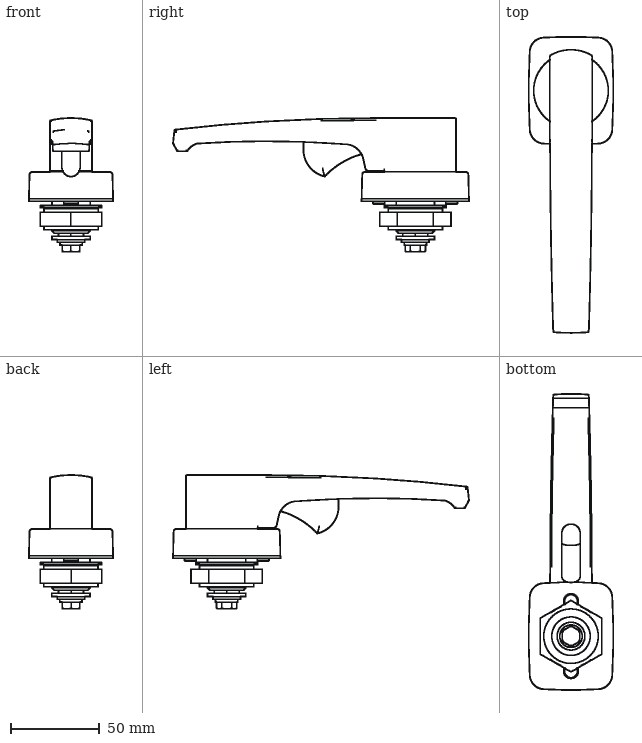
import cadquery as cq
import math


PLATE_LENGTH = 60.9
PLATE_WIDTH = 47.9
PLATE_BOW = 1.0
PLATE_CORNER_RADIUS = 8.4
PLATE_DRAFT = 1.4
PLATE_TOP_FILLET = 1.7
GASKET_THICKNESS = 1.5
PLATE_TOP = 16.7

SLEEVE_RADIUS = 10.9
SLEEVE_BOTTOM = -18.0
SLEEVE_CHAMFER = 1.5

BOSS_RADIUS = 4.2
BOSS_OFFSET = 19.7
BOSS_BOTTOM = -1.5
BOSS_CHAMFER = 0.5

LOCK_WASHER_RADIUS = 17.4
LOCK_WASHER_TOP = -2.0
LOCK_WASHER_RIM = 1.5
LOCK_WASHER_CHAMFER = 0.5
NUT_TOP = -4.0
NUT_COLLAR_RADIUS = 15.4
NUT_COLLAR_HEIGHT = 2.0
NUT_HEX_HEIGHT = 8.0
NUT_ACROSS_FLATS = 35.0

SPINDLE_SIDE = 10.0
SPINDLE_SOCKET_DEPTH = 10.0
SPINDLE_BOTTOM = -19.5
END_WASHER_RADIUS = 10.9
END_WASHER_THICKNESS = 2.0
PLAIN_WASHER_RADIUS = 7.9
SPRING_WASHER_RADIUS = 6.4
SMALL_WASHER_THICKNESS = 1.5
BOLT_ACROSS_FLATS = 10.0
BOLT_HEAD_HEIGHT = 3.8
BOLT_HEAD_CHAMFER = 0.5
BOLT_SHANK_RADIUS = 3.0
BOLT_THREAD_DEPTH = 10.0

DISC_RADIUS = 21.0
DISC_THICKNESS = 2.5
HANDLE_RELIEF = 0.5
HANDLE_TOP = 47.2
HANDLE_HALF_WIDTH = 11.9
HANDLE_BACK_RADIUS = 23.1
HANDLE_TIP_HALF_WIDTH = 10.0
HANDLE_TIP_RADIUS = 100.4
HANDLE_TIP_LEAN = 6.0
HANDLE_TIP_WIDEST_Z = 32.8
TIP_TRIM = 1.7
HANDLE_TIP_Y = PLATE_LENGTH / 2 - 167.3
ARM_START_Y = -22.3
ARM_TOP_RADIUS = 987.1
CROWN_RADIUS = 50.2
HANDLE_EDGE_FILLET = 0.8

GUARD_WIDTH = 10.4
GUARD_ROUNDING = 5.0
GUARD_ROOT_Y = -23.5
GUARD_ROOT_Z = 36.8


def cylinder(radius, top, bottom):
    return cq.Workplane("XY").workplane(offset=bottom).circle(radius).extrude(top - bottom)


def hexagon(across_flats, top, bottom):
    """Hexagonal prism with flats facing +X and -X."""
    corner_radius = across_flats / 2 / math.cos(math.pi / 6)
    corners = [
        (corner_radius * math.sin(k * math.pi / 3), corner_radius * math.cos(k * math.pi / 3))
        for k in range(6)
    ]
    return cq.Workplane("XY").workplane(offset=bottom).polyline(corners).close().extrude(top - bottom)


def square_bar(top, bottom):
    """Square bar on the Z axis with its corners on the X and Y axes."""
    return (
        cq.Workplane("XY").workplane(offset=bottom)
        .transformed(rotate=(0, 0, 45)).rect(SPINDLE_SIDE, SPINDLE_SIDE).extrude(top - bottom)
    )


def drafted_block():
    """Plate and gasket in one: bowed sides, rounded corners, narrowing toward the top."""
    half_x = PLATE_WIDTH / 2
    half_y = PLATE_LENGTH / 2
    corner_x = half_x - PLATE_BOW
    corner_y = half_y - PLATE_BOW
    block = (
        cq.Workplane("XY")
        .moveTo(corner_x, -corner_y)
        .threePointArc((half_x, 0), (corner_x, corner_y))
        .threePointArc((0, half_y), (-corner_x, corner_y))
        .threePointArc((-half_x, 0), (-corner_x, -corner_y))
        .threePointArc((0, -half_y), (corner_x, -corner_y))
        .close()
        .extrude(PLATE_TOP, taper=PLATE_DRAFT)
    )
    corners = block.edges().filter(lambda edge: 0.2 < edge.Center().z < PLATE_TOP - 0.2)
    return corners.fillet(PLATE_CORNER_RADIUS)


def gasket_slab():
    """Layer that the gasket takes up at the foot of the drafted block."""
    return cq.Workplane("XY").box(
        PLATE_WIDTH + 1.7, PLATE_LENGTH + 1.7, GASKET_THICKNESS, centered=(True, True, False)
    )


def make_sleeve():
    sleeve = cylinder(SLEEVE_RADIUS, GASKET_THICKNESS, SLEEVE_BOTTOM)
    return sleeve.faces("<Z").chamfer(SLEEVE_CHAMFER)


def make_bosses():
    """Two round bosses, cut back to clear the lock washer."""
    bosses = cylinder(BOSS_RADIUS, GASKET_THICKNESS, BOSS_BOTTOM).faces("<Z").chamfer(BOSS_CHAMFER)
    front = bosses.translate((0, -BOSS_OFFSET, 0))
    rear = bosses.translate((0, BOSS_OFFSET, 0))
    return front.add(rear).combine().cut(cylinder(LOCK_WASHER_RADIUS, GASKET_THICKNESS, BOSS_BOTTOM))


def make_housing():
    plate = drafted_block().faces(">Z").edges().fillet(PLATE_TOP_FILLET)
    plate = plate.cut(gasket_slab())
    housing = plate.union(make_sleeve()).union(make_bosses())
    disc_recess = cylinder(DISC_RADIUS, PLATE_TOP, PLATE_TOP - DISC_THICKNESS)
    spindle_bore = cylinder(SPINDLE_SIDE * math.sqrt(0.5), PLATE_TOP, SLEEVE_BOTTOM)
    return housing.cut(disc_recess).cut(spindle_bore)


def make_gasket():
    gasket = drafted_block().intersect(gasket_slab())
    return gasket.cut(cylinder(SLEEVE_RADIUS, GASKET_THICKNESS, 0)).cut(make_bosses())


def make_lock_washer():
    rim_bottom = LOCK_WASHER_TOP - LOCK_WASHER_RIM
    rim = cylinder(LOCK_WASHER_RADIUS, LOCK_WASHER_TOP, rim_bottom)
    rim = rim.faces(">Z").chamfer(LOCK_WASHER_CHAMFER)
    seat = cylinder(NUT_COLLAR_RADIUS, rim_bottom, NUT_TOP)
    return rim.union(seat).cut(cylinder(SLEEVE_RADIUS, LOCK_WASHER_TOP, NUT_TOP))


def make_nut():
    hex_top = NUT_TOP - NUT_COLLAR_HEIGHT
    hex_bottom = hex_top - NUT_HEX_HEIGHT
    nut_bottom = hex_bottom - NUT_COLLAR_HEIGHT
    nut = hexagon(NUT_ACROSS_FLATS, hex_top, hex_bottom)
    nut = nut.union(cylinder(NUT_COLLAR_RADIUS, NUT_TOP, nut_bottom))
    return nut.cut(cylinder(SLEEVE_RADIUS, NUT_TOP, nut_bottom))


def make_spindle():
    spindle = square_bar(PLATE_TOP + SPINDLE_SOCKET_DEPTH, SPINDLE_BOTTOM)
    return spindle.cut(cylinder(BOLT_SHANK_RADIUS, SPINDLE_BOTTOM + BOLT_THREAD_DEPTH, SPINDLE_BOTTOM))


def make_washer(radius, top, thickness):
    """Flat ring around the bolt shank."""
    return cylinder(radius, top, top - thickness).cut(
        cylinder(BOLT_SHANK_RADIUS, top, top - thickness)
    )


def make_bolt(head_top):
    head_bottom = head_top - BOLT_HEAD_HEIGHT
    head = hexagon(BOLT_ACROSS_FLATS, head_top, head_bottom)
    corner_radius = BOLT_ACROSS_FLATS / 2 / math.cos(math.pi / 6)
    bevel = cylinder(corner_radius, head_top, head_bottom).faces("<Z").chamfer(BOLT_HEAD_CHAMFER)
    shank = cylinder(BOLT_SHANK_RADIUS, SPINDLE_BOTTOM + BOLT_THREAD_DEPTH, head_top)
    return head.intersect(bevel).union(shank)


def handle_plan():
    """Handle seen from above: round back, parallel sides, then an arm that narrows to the tip."""
    back_y = math.sqrt(HANDLE_BACK_RADIUS**2 - HANDLE_HALF_WIDTH**2)
    end_y = HANDLE_TIP_Y - TIP_TRIM
    middle_y = (ARM_START_Y + end_y) / 2
    middle_x = HANDLE_HALF_WIDTH - (HANDLE_HALF_WIDTH - HANDLE_TIP_HALF_WIDTH) / 4
    return (
        cq.Workplane("XY")
        .moveTo(HANDLE_HALF_WIDTH, ARM_START_Y)
        .lineTo(HANDLE_HALF_WIDTH, back_y)
        .threePointArc((0, HANDLE_BACK_RADIUS), (-HANDLE_HALF_WIDTH, back_y))
        .lineTo(-HANDLE_HALF_WIDTH, ARM_START_Y)
        .threePointArc((-middle_x, middle_y), (-HANDLE_TIP_HALF_WIDTH, end_y))
        .lineTo(HANDLE_TIP_HALF_WIDTH, end_y)
        .threePointArc((middle_x, middle_y), (HANDLE_HALF_WIDTH, ARM_START_Y))
        .close()
        .extrude(HANDLE_TOP)
    )


def handle_side():
    """Handle seen from the side, open at the top where the crown closes it."""
    width = 2 * HANDLE_HALF_WIDTH
    heel_z = PLATE_TOP + HANDLE_RELIEF
    return (
        cq.Workplane("YZ").workplane(offset=-HANDLE_HALF_WIDTH)
        .moveTo(HANDLE_BACK_RADIUS, HANDLE_TOP)
        .lineTo(HANDLE_BACK_RADIUS, PLATE_TOP)
        .lineTo(-DISC_RADIUS + 3.7, PLATE_TOP)
        .lineTo(-DISC_RADIUS + 3.7, heel_z)
        .lineTo(-26.5, heel_z)
        .tangentArcPoint((-28.3, 18.7), relative=False)
        .lineTo(-29.5, 24.1)
        .tangentArcPoint((-39.2, 32.3), relative=False)
        .threePointArc((-85.3, 34.0), (-123.1, 32.6))
        .threePointArc((-126.7, 30.8), (-128.8, 28.3))
        .lineTo(-134.3, 28.3)
        .lineTo(HANDLE_TIP_Y, HANDLE_TIP_WIDEST_Z)
        .lineTo(HANDLE_TIP_Y - TIP_TRIM, HANDLE_TOP)
        .close()
        .extrude(width)
    )


def tip_rounding():
    """Large leaning cylinder whose front side forms the bowed end face."""
    axis_y = HANDLE_TIP_Y + HANDLE_TIP_RADIUS / math.cos(math.radians(HANDLE_TIP_LEAN))
    return (
        cq.Workplane("XY", origin=(0, axis_y, HANDLE_TIP_WIDEST_Z))
        .transformed(rotate=(-HANDLE_TIP_LEAN, 0, 0))
        .circle(HANDLE_TIP_RADIUS)
        .extrude(HANDLE_TOP, both=True)
    )


def crowned_blank():
    """Bar with a crowned top, straight over the plate and bending down along the arm."""
    half = HANDLE_HALF_WIDTH + 1.7
    edge_z = HANDLE_TOP - (CROWN_RADIUS - math.sqrt(CROWN_RADIUS**2 - half**2))

    def section():
        return (
            cq.Workplane("XZ", origin=(0, ARM_START_Y, 0))
            .moveTo(-half, 0)
            .lineTo(-half, edge_z)
            .threePointArc((0, HANDLE_TOP), (half, edge_z))
            .lineTo(half, 0)
            .close()
        )

    straight = section().extrude(-(HANDLE_BACK_RADIUS - ARM_START_Y + 1.7))
    pivot_z = HANDLE_TOP - ARM_TOP_RADIUS
    arm = section().revolve(8, (-1.7, pivot_z), (1.7, pivot_z))
    return straight.union(arm)


def is_guard_rim(edge):
    """True for the guard edges that stand out of the handle."""
    centre = edge.Center()
    return centre.z < GUARD_ROOT_Z - 0.2 and centre.y < GUARD_ROOT_Y - 0.2


def make_guard():
    """Rounded fin that keeps the fingers off the plate."""
    fin = (
        cq.Workplane("YZ").workplane(offset=-GUARD_WIDTH / 2)
        .moveTo(GUARD_ROOT_Y, GUARD_ROOT_Z)
        .lineTo(GUARD_ROOT_Y, 28.1)
        .lineTo(-30.1, 26.8)
        .threePointArc((-41.2, 22.1), (-51.2, 14.0))
        .threePointArc((-60.2, 20.0), (-63.2, 28.8))
        .lineTo(-63.2, GUARD_ROOT_Z)
        .close()
        .extrude(GUARD_WIDTH)
    )
    rim = fin.faces("<X or >X").edges().filter(is_guard_rim)
    return rim.fillet(GUARD_ROUNDING)


def is_outline_edge(edge):
    """True for the side outlines, the back corners and the ends of the crowned top."""
    centre = edge.Center()
    on_heel = centre.z < PLATE_TOP + HANDLE_RELIEF + 0.2
    on_joint = abs(centre.y - ARM_START_Y) < 0.2
    on_side = abs(centre.x) > HANDLE_HALF_WIDTH / 2
    on_top = centre.z > HANDLE_TIP_WIDEST_Z + 5
    return (on_side or on_top) and not on_heel and not on_joint


def make_handle():
    grip = handle_plan().intersect(handle_side()).intersect(crowned_blank()).intersect(tip_rounding())
    grip = grip.edges().filter(is_outline_edge).fillet(HANDLE_EDGE_FILLET)
    disc = cylinder(DISC_RADIUS, PLATE_TOP, PLATE_TOP - DISC_THICKNESS)
    socket = square_bar(PLATE_TOP + SPINDLE_SOCKET_DEPTH, PLATE_TOP - DISC_THICKNESS)
    return grip.union(make_guard()).union(disc).cut(socket)


end_washer_bottom = SPINDLE_BOTTOM - END_WASHER_THICKNESS
plain_washer_bottom = end_washer_bottom - SMALL_WASHER_THICKNESS
spring_washer_bottom = plain_washer_bottom - SMALL_WASHER_THICKNESS

housing = make_housing()
gasket = make_gasket()
handle = make_handle()
spindle = make_spindle()
lock_washer = make_lock_washer()
nut = make_nut()
end_washer = make_washer(END_WASHER_RADIUS, SPINDLE_BOTTOM, END_WASHER_THICKNESS)
plain_washer = make_washer(PLAIN_WASHER_RADIUS, end_washer_bottom, SMALL_WASHER_THICKNESS)
spring_washer = make_washer(SPRING_WASHER_RADIUS, plain_washer_bottom, SMALL_WASHER_THICKNESS)
bolt = make_bolt(spring_washer_bottom)

result = cq.Compound.makeCompound([
    housing.val(),
    gasket.val(),
    handle.val(),
    spindle.val(),
    lock_washer.val(),
    nut.val(),
    end_washer.val(),
    plain_washer.val(),
    spring_washer.val(),
    bolt.val(),
])